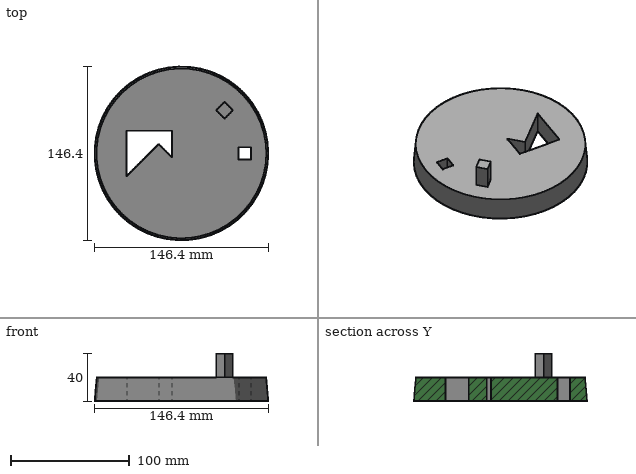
import cadquery as cq

base_radius = 73.2
base_top_radius = 71.5
total_height = 40.0
base_height = total_height / 2

peg_side = 10.0
peg_offset = 36.3
peg_height = total_height - base_height

hole_side = 10.3
hole_offset = 53.3

window_side = 38.1
window_left = -46.1
window_top = window_side / 2
notch_rise = 27.0


def make_base():
    """Truncated cone that narrows toward the top."""
    return (
        cq.Workplane("XY")
        .circle(base_radius)
        .workplane(offset=base_height)
        .circle(base_top_radius)
        .loft(ruled=True)
    )


def make_peg():
    return (
        cq.Workplane("XY")
        .workplane(offset=base_height)
        .center(peg_offset, peg_offset)
        .transformed(rotate=(0, 0, 45))
        .rect(peg_side, peg_side)
        .extrude(peg_height)
    )


def make_square_hole():
    return (
        cq.Workplane("XY")
        .center(hole_offset, 0)
        .rect(hole_side, hole_side)
        .extrude(base_height)
    )


def make_window():
    window_right = window_left + window_side
    window_bottom = window_top - window_side
    tip_x = window_left + notch_rise
    tip_y = window_bottom + notch_rise
    right_edge_bottom = tip_y - (window_right - tip_x)
    outline = [
        (window_left, window_bottom),
        (window_left, window_top),
        (window_right, window_top),
        (window_right, right_edge_bottom),
        (tip_x, tip_y),
    ]
    return cq.Workplane("XY").polyline(outline).close().extrude(base_height)


result = (
    make_base()
    .cut(make_square_hole())
    .cut(make_window())
    .union(make_peg())
)